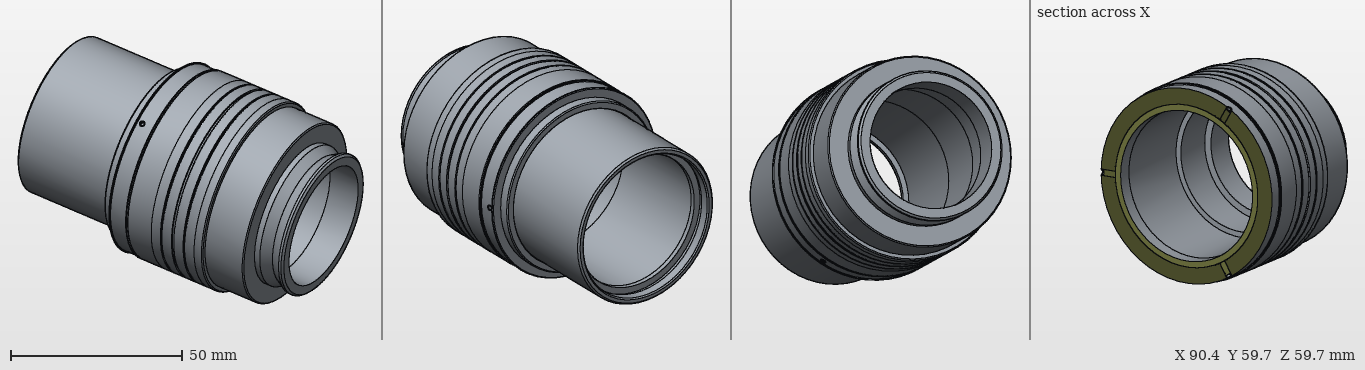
import cadquery as cq
flange_start = 31.6
flange_end = 34.9
clamp_end = 41.4
barrel_end = 67.4
grip_start = 49.7
grip_end = 64.5
housing_end = 80.6
total_length = 90.4

tube_diameter = 49.2
flange_diameter = 53.9
barrel_diameter = 59.7
groove_floor_diameter = 58.7
clamp_band_diameter = 58.9
housing_diameter = 56.8
coupling_diameter = 44.5
v_floor_diameter = 40.9

bore_diameter = 45.2
relief_diameter = 46.0
coupling_bore_diameter = 37.6
shoulder_bore_diameter = 41.85
housing_bore_diameter = shoulder_bore_diameter
relief_start = 3.2
shoulder_start = 4.5
shoulder_length = 1.5

tube_chamfer = 0.5
rim_chamfer = 0.4
notch_chamfer = 0.3
flange_bore_chamfer = 0.2
mouth_chamfer = (relief_diameter - bore_diameter) / 2

clamp_rim_length = 0.5

grip_seat_diameter = 56.0
grip_grooves = [(53.15, 0.5), (57.1, 0.8), (61.0, 0.5)]

v_start = 82.4
v_bottom = 85.7
v_end = 88.9
coupling_chamfer = 0.6

screw_count = 3
screw_station = 37.0
screw_diameter = 1.7
screw_recess = 0.2
socket_diameter = 1.2
socket_depth = 0.7

cutter_margin = 0.9
edge_tolerance = 0.01


def ring(start, end, outer, inner):
    """Plain hollow cylinder on the X axis."""
    return (
        cq.Workplane("YZ", origin=(start, 0, 0))
        .circle(outer / 2)
        .circle(inner / 2)
        .extrude(end - start)
    )


def break_edge(body, station, diameter, size):
    """Chamfer the circular edge of the given diameter at the given station."""
    low_corner = (station - edge_tolerance, -diameter, -diameter)
    high_corner = (station + edge_tolerance, diameter, diameter)
    at_station = body.edges(cq.selectors.BoxSelector(low_corner, high_corner, boundingbox=True)).vals()
    edges = [edge for edge in at_station if abs(edge.radius() - diameter / 2) < edge_tolerance]
    return body.newObject(edges).chamfer(size)


def make_tube():
    """Front tube with a chamfered mouth and an internal shoulder behind a thread relief."""
    tube = ring(0, clamp_end, tube_diameter, bore_diameter)
    tube = break_edge(tube, 0, tube_diameter, tube_chamfer)
    tube = break_edge(tube, 0, bore_diameter, mouth_chamfer)
    tube = tube.cut(ring(relief_start, shoulder_start, relief_diameter, bore_diameter))
    shoulder = ring(shoulder_start, shoulder_start + shoulder_length, bore_diameter, shoulder_bore_diameter)
    return tube.union(shoulder)


def make_flange():
    """Stepped collar round the tube, in front of the clamp ring."""
    flange = ring(flange_start, flange_end, flange_diameter, tube_diameter)
    flange = break_edge(flange, flange_start, flange_diameter, rim_chamfer)
    return break_edge(flange, flange_start, tube_diameter, flange_bore_chamfer)


def along_screws(shape):
    """Copies of a shape on the +Y axis, turned to every screw position."""
    return [
        shape.rotate((0, 0, 0), (1, 0, 0), i * 360 / screw_count)
        for i in range(screw_count)
    ]


def radial_cylinder(diameter, inner_radius, outer_radius):
    """Cylinder on a line parallel to +Y through the screw station, between two radii."""
    return (
        cq.Workplane("XZ", origin=(screw_station, inner_radius, 0))
        .circle(diameter / 2)
        .extrude(inner_radius - outer_radius)
    )


def make_clamp_ring():
    """Clamp ring with a shallow band between its rims and radial holes for the set screws."""
    clamp = ring(flange_end, clamp_end, barrel_diameter, tube_diameter)
    for station in (flange_end, clamp_end):
        clamp = break_edge(clamp, station, barrel_diameter, notch_chamfer)
    band_start = flange_end + clamp_rim_length
    band_end = clamp_end - clamp_rim_length
    clamp = clamp.cut(ring(band_start, band_end, barrel_diameter + cutter_margin, clamp_band_diameter))
    hole_bottom = tube_diameter / 2 - cutter_margin
    hole_top = barrel_diameter / 2 + cutter_margin
    for hole in along_screws(radial_cylinder(screw_diameter, hole_bottom, hole_top)):
        clamp = clamp.cut(hole)
    return clamp


def make_screws():
    """Set screws with round sockets, resting on the tube just below the clamp band."""
    head = clamp_band_diameter / 2 - screw_recess
    screw = radial_cylinder(screw_diameter, tube_diameter / 2, head)
    return along_screws(screw.cut(radial_cylinder(socket_diameter, head - socket_depth, head)))


def make_barrel():
    """Main barrel with a seat for the grip."""
    barrel = ring(clamp_end, barrel_end, barrel_diameter, bore_diameter)
    barrel = break_edge(barrel, clamp_end, barrel_diameter, notch_chamfer)
    barrel = break_edge(barrel, barrel_end, barrel_diameter, rim_chamfer)
    return barrel.cut(ring(grip_start, grip_end, barrel_diameter + cutter_margin, grip_seat_diameter))


def make_grip():
    """Grooved grip sleeve, flush with the barrel."""
    grip = ring(grip_start, grip_end, barrel_diameter, grip_seat_diameter)
    for centre, width in grip_grooves:
        start = centre - width / 2
        grip = grip.cut(ring(start, start + width, barrel_diameter + cutter_margin, groove_floor_diameter))
    return grip


def make_housing():
    """Rear housing."""
    housing = ring(barrel_end, housing_end, housing_diameter, housing_bore_diameter)
    return break_edge(housing, housing_end, housing_diameter, rim_chamfer)


def make_coupling():
    """Rear coupling with a V-groove and a chamfered end."""
    outer = coupling_diameter / 2
    profile = [
        (housing_end, coupling_bore_diameter / 2),
        (housing_end, outer),
        (v_start, outer),
        (v_bottom, v_floor_diameter / 2),
        (v_end, outer),
        (total_length - coupling_chamfer, outer),
        (total_length, outer - coupling_chamfer),
        (total_length, coupling_bore_diameter / 2),
    ]
    return cq.Workplane("XY").polyline(profile).close().revolve(360, (0, 0, 0), (1, 0, 0))


tube = make_tube()
flange = make_flange()
clamp_ring = make_clamp_ring()
barrel = make_barrel()
grip = make_grip()
housing = make_housing()
coupling = make_coupling()
set_screws = make_screws()

bodies = [tube, flange, clamp_ring, barrel, grip, housing, coupling, *set_screws]
result = cq.Compound.makeCompound([body.val() for body in bodies])